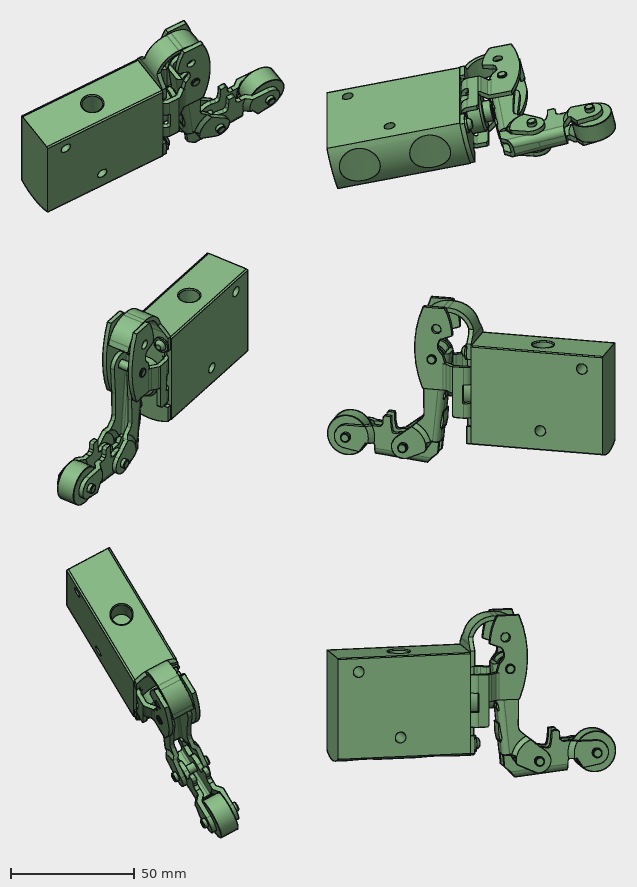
import cadquery as cq
import math


TOTAL_LENGTH = 117.0

HOUSING_WIDTH = 20.0
HOUSING_DEPTH = 55.2
HOUSING_TOP = 20.8
HOUSING_SIDE_BOTTOM = -20.7
HOUSING_BOTTOM = -23.0
TOP_BEVEL_WIDTH = 0.8
TOP_BEVEL_HEIGHT = 0.4
GRIP_CENTERS_Y = (-14.5, -43.8)
GRIP_RADIUS = 25.3
GRIP_DEPTH = 1.4
MOUNT_HOLE_DIAMETER = 4.5
MOUNT_HOLES = ((-46.5, 15.0), (-29.1, -12.9))
PORT_DIAMETER = 8.5
PORT_BEVEL = 0.5
PORT_CENTER_Y = -27.6
PORT_DEPTH = 11.7
GUIDE_DIAMETER = 15.9
GUIDE_LENGTH = 8.1
GUIDE_BEVEL = 0.9

SCREW_PLACES = ((-6.5, 17.4), (6.5, -17.3))
SHANK_DIAMETER = 3.0
FLANGE_DIAMETER = 6.8
FLANGE_THICKNESS = 0.8
DOME_DIAMETER = 5.0
DOME_TOP_DIAMETER = 2.5
DOME_HEIGHT = 1.8
DOME_BULGE = 0.4

PLUNGER_DIAMETER = 8.5
PLUNGER_SHOULDER_Y = 11.2
TIP_DIAMETER = 6.8
TIP_Y = 11.7

SHEET = 1.9
STEP_OVERLAP = 0.4
REACH = 70.2
PIN_DIAMETER = 3.9
PIN_LENGTH = 16.1
PIN_BEVEL = 0.4
SPARE_HOLE_DIAMETER = 3.9

PLATE_HALF = 9.6
FLANK_HALF = HOUSING_WIDTH / 2
FLANK_BEND_RADIUS = 3.2
FLANK_TOP = 11.5
FLANK_BOTTOM = -10.2
FLANK_FRONT = 7.7
FLANK_BEVEL = 0.7
CHEEK_HALF = 7.3
CHEEK_TOP = 35.0
CHEEK_BOTTOM = 0.2
JOGGLE_START = 8.2
JOGGLE_END = 11.6
JOGGLE_RADIUS = 2.1
RELIEF_HEIGHT = 3.5
RELIEF_DEPTH = 1.8
WINDOW_HEIGHT = 8.0
WINDOW_REACH = 3.5
STRAP_HALF = 4.8
STRAP_SHOULDER = 21.5
STRAP_RADIUS = 10.9
STRAP_TOP = 34.6
STRAP_FLAT = 2.1
STRAP_ARC_DEGREES = 65
STRAP_TIP_LENGTH = 2.5
STRAP_TIP_BEVEL = 0.7

ROLLER_DIAMETER = 16.8
ROLLER_WIDTH = 8.0
ROLLER_BEVEL = 0.18

LEVER_PIVOT = (17.1, 13.0)
SPARE_HOLE = (15.2, 26.0)
HINGE = (29.4, -25.9)
ROLLER_AXIS = (TOTAL_LENGTH - HOUSING_DEPTH - ROLLER_DIAMETER / 2, -23.4)
EYE_RADIUS = 4.9

LEVER_HALF = 4.9
LEVER_BEND_RADIUS = 2.8
LEVER_BACK_TOP = (10.3, 18.6)
LEVER_BACK_BOTTOM = (14.6, -23.2)
LEVER_DEPTH = 14.0
EAR_HALF = 6.2
EAR_STEP_RADII = (9.6, 11.5)
PAD_HALF = 3.7
PADS = (
    ((12.4, -1.5), (12.2, -1.8), (12.2, -3.5), (13.0, -5.0), (13.6, -4.1)),
    ((13.3, -10.1), (13.0, -10.3), (13.2, -15.0), (13.9, -18.0), (14.5, -16.4)),
)

LINK_HALF = 4.1
LINK_WALL = 2.0
LINK_BEND_RADIUS = 2.9
LINK_BASE_BACK = (14.6, -33.6)
LINK_BASE_FRONT = (45.2, -30.6)
LINK_DEPTH = 21.0
FORK_HALF = 6.2
FORK_STEP_RADII = (9.4, 11.5)


def across(profile, half_width):
    """Extrude a closed (Y, Z) profile to both sides of the plane of symmetry."""
    return profile.extrude(2 * half_width).translate((-half_width, 0, 0))


def polygon(points):
    """Closed straight-sided profile in the (Y, Z) plane."""
    return cq.Workplane("YZ").polyline(points).close()


def rod(center, diameter, length):
    """Cylinder along X through a (Y, Z) centre."""
    return across(cq.Workplane("YZ").center(*center).circle(diameter / 2), length / 2)


def disc(diameter, start_y, end_y, x=0, z=0):
    """Cylinder along Y from start_y to end_y."""
    plane = cq.Plane(origin=(x, start_y, z), xDir=(1, 0, 0), normal=(0, 1, 0))
    return cq.Workplane(plane).circle(diameter / 2).extrude(end_y - start_y)


def pin(center):
    """Pin along X with beveled ends."""
    return rod(center, PIN_DIAMETER, PIN_LENGTH).faces("<X or >X").chamfer(PIN_BEVEL)


def mirrored(half):
    """A right-hand half together with its mirror image."""
    return half.union(half.mirror("YZ"))


def point_from(center, radius, degrees):
    """Point on a circle in the (Y, Z) plane."""
    angle = math.radians(degrees)
    return (center[0] + radius * math.cos(angle), center[1] + radius * math.sin(angle))


def channel(start, end, half_width, wall, radius, depth):
    """U-shaped sheet: its base runs from start to end in (Y, Z), its walls stand to the left of that run."""
    run = (end[0] - start[0], end[1] - start[1])
    plane = cq.Plane(origin=(0, *start), xDir=(1, 0, 0), normal=(0, *run))
    base_side = cq.selectors.DirectionMinMaxSelector(plane.yDir, True)
    lengthwise = cq.selectors.ParallelDirSelector(plane.zDir)

    def bar(half, inset, corner_radius):
        profile = cq.Workplane(plane).center(0, -depth).rect(2 * half, 2 * (depth - inset))
        return profile.extrude(math.hypot(*run)).faces(base_side).edges(lengthwise).fillet(corner_radius)

    return bar(half_width, 0, radius).cut(bar(half_width - wall, wall, radius - wall))


def dished_sheets(center, radii, halves, wall):
    """Two mirrored sheets with a conical step concentric with a (Y, Z) centre.

    Their outer half width goes from halves[0] inside radii[0] to halves[1] outside radii[1].
    """
    slope = math.atan2(halves[0] - halves[1], radii[1] - radii[0])
    inner_shift = wall * math.tan(slope / 2)
    rim = radii[1] + STEP_OVERLAP
    section = cq.Workplane("XY").polyline([
        (halves[0], 0),
        (halves[0], radii[0]),
        (halves[1], radii[1]),
        (halves[1], rim),
        (halves[1] - wall, rim),
        (halves[1] - wall, radii[1] - inner_shift),
        (halves[0] - wall, radii[0] - inner_shift),
        (halves[0] - wall, 0),
    ]).close()
    return mirrored(section.revolve(360, (0, 0, 0), (1, 0, 0)).translate((0, *center)))


def cross_section(half_width, top):
    """Closed (X, Z) outline with an arched bottom, shared by the housing and the bracket plate."""
    arch_rise = HOUSING_SIDE_BOTTOM - HOUSING_BOTTOM
    arch_radius = (FLANK_HALF**2 + arch_rise**2) / (2 * arch_rise)
    corner_z = HOUSING_BOTTOM + arch_radius - math.sqrt(arch_radius**2 - half_width**2)
    return (
        cq.Workplane("XZ")
        .moveTo(-half_width, top)
        .lineTo(-half_width, corner_z)
        .threePointArc((0, HOUSING_BOTTOM), (half_width, corner_z))
        .lineTo(half_width, top)
        .close()
    )


def make_screw(x, z):
    """Dome-headed screw with a flange, seated on the bracket plate."""
    dome_base = SHEET + FLANGE_THICKNESS
    dome_top = dome_base + DOME_HEIGHT
    dome_middle = (DOME_DIAMETER + DOME_TOP_DIAMETER) / 4 + DOME_BULGE
    profile = (
        cq.Workplane("XY")
        .lineTo(SHANK_DIAMETER / 2, 0)
        .lineTo(SHANK_DIAMETER / 2, SHEET)
        .lineTo(FLANGE_DIAMETER / 2, SHEET)
        .lineTo(FLANGE_DIAMETER / 2, dome_base)
        .lineTo(DOME_DIAMETER / 2, dome_base)
        .threePointArc((dome_middle, (dome_base + dome_top) / 2), (DOME_TOP_DIAMETER / 2, dome_top))
        .lineTo(0, dome_top)
        .close()
    )
    return profile.revolve(360, (0, 0, 0), (0, 1, 0)).translate((x, 0, z))


def make_housing():
    """Block with an arched, finger-gripped bottom, a cable port, the plunger guide and the screws."""
    block = cross_section(FLANK_HALF, HOUSING_TOP).extrude(HOUSING_DEPTH)
    bevel = (
        cq.Workplane("XZ")
        .moveTo(FLANK_HALF, HOUSING_TOP)
        .lineTo(FLANK_HALF - TOP_BEVEL_WIDTH, HOUSING_TOP)
        .lineTo(FLANK_HALF, HOUSING_TOP - TOP_BEVEL_HEIGHT)
        .close()
        .extrude(HOUSING_DEPTH)
    )
    block = block.cut(mirrored(bevel))

    grip_center_z = HOUSING_BOTTOM + GRIP_DEPTH - GRIP_RADIUS
    for grip_y in GRIP_CENTERS_Y:
        block = block.cut(rod((grip_y, grip_center_z), 2 * GRIP_RADIUS, 2 * HOUSING_WIDTH))
    for place in MOUNT_HOLES:
        block = block.cut(rod(place, MOUNT_HOLE_DIAMETER, 2 * HOUSING_WIDTH))

    port = cq.Workplane("XY", origin=(0, PORT_CENTER_Y, HOUSING_TOP))
    block = block.cut(port.circle(PORT_DIAMETER / 2).extrude(-PORT_DEPTH))
    block = block.cut(port.circle(PORT_DIAMETER / 2 + PORT_BEVEL).extrude(-PORT_BEVEL, taper=45))

    guide = disc(GUIDE_DIAMETER, 0, GUIDE_LENGTH).faces(">Y").chamfer(GUIDE_BEVEL)
    block = block.union(guide.cut(disc(PLUNGER_DIAMETER, 0, GUIDE_LENGTH)))
    for place in SCREW_PLACES:
        block = block.union(make_screw(*place))
    return block


def make_plunger():
    """Stepped plunger seated in the guide."""
    return disc(PLUNGER_DIAMETER, 0, PLUNGER_SHOULDER_Y).union(disc(TIP_DIAMETER, PLUNGER_SHOULDER_Y, TIP_Y))


def bracket_strap():
    """Strap that rises from the plate, arches over between the cheeks and ends in a beveled tip."""
    center_z = STRAP_TOP - STRAP_RADIUS
    back_center = (STRAP_RADIUS, center_z)
    front_center = (STRAP_RADIUS + STRAP_FLAT, center_z)
    inner_radius = STRAP_RADIUS - SHEET
    end_angle = 90 - STRAP_ARC_DEGREES
    middle_angle = 90 - STRAP_ARC_DEGREES / 2
    slope = math.radians(-STRAP_ARC_DEGREES)
    tip_y = STRAP_TIP_LENGTH * math.cos(slope)
    tip_z = STRAP_TIP_LENGTH * math.sin(slope)
    inner_end = point_from(front_center, inner_radius, end_angle)
    side = (
        cq.Workplane("YZ")
        .moveTo(0, FLANK_TOP)
        .lineTo(0, center_z)
        .threePointArc(point_from(back_center, STRAP_RADIUS, 135), (STRAP_RADIUS, STRAP_TOP))
        .lineTo(front_center[0], STRAP_TOP)
        .threePointArc(
            point_from(front_center, STRAP_RADIUS, middle_angle),
            point_from(front_center, STRAP_RADIUS, end_angle),
        )
        .line(tip_y, tip_z)
        .lineTo(inner_end[0] + tip_y, inner_end[1] + tip_z)
        .lineTo(*inner_end)
        .threePointArc(
            point_from(front_center, inner_radius, middle_angle),
            (front_center[0], STRAP_TOP - SHEET),
        )
        .lineTo(STRAP_RADIUS, STRAP_TOP - SHEET)
        .threePointArc(point_from(back_center, inner_radius, 135), (SHEET, center_z))
        .lineTo(SHEET, FLANK_TOP)
        .close()
    )
    neck_top = STRAP_SHOULDER + PLATE_HALF - STRAP_HALF
    front = (
        cq.Workplane("XZ")
        .polyline([
            (-PLATE_HALF, FLANK_TOP),
            (-PLATE_HALF, STRAP_SHOULDER),
            (-STRAP_HALF, neck_top),
            (-STRAP_HALF, CHEEK_TOP),
            (STRAP_HALF, CHEEK_TOP),
            (STRAP_HALF, neck_top),
            (PLATE_HALF, STRAP_SHOULDER),
            (PLATE_HALF, FLANK_TOP),
        ])
        .close()
        .extrude(-REACH)
    )
    strap = across(side, PLATE_HALF).intersect(front)
    tip_face = cq.selectors.DirectionMinMaxSelector(cq.Vector(0, math.cos(slope), math.sin(slope)))
    return strap.faces(tip_face).edges("not |X").chamfer(STRAP_TIP_BEVEL)


def bracket_flanks():
    """Side walls bent forward from the plate, with a window in each bend."""
    bend_start = FLANK_HALF - FLANK_BEND_RADIUS
    inner_radius = FLANK_BEND_RADIUS - SHEET
    diagonal = math.sqrt(0.5)
    plan = (
        cq.Workplane("XY", origin=(0, 0, FLANK_BOTTOM))
        .lineTo(bend_start, 0)
        .threePointArc(
            (bend_start + FLANK_BEND_RADIUS * diagonal, FLANK_BEND_RADIUS * (1 - diagonal)),
            (FLANK_HALF, FLANK_BEND_RADIUS),
        )
        .lineTo(FLANK_HALF, FLANK_FRONT)
        .lineTo(FLANK_HALF - SHEET, FLANK_FRONT)
        .lineTo(FLANK_HALF - SHEET, FLANK_BEND_RADIUS)
        .threePointArc(
            (bend_start + inner_radius * diagonal, FLANK_BEND_RADIUS - inner_radius * diagonal),
            (bend_start, SHEET),
        )
        .lineTo(0, SHEET)
        .close()
    )
    flank = plan.extrude(FLANK_TOP - FLANK_BOTTOM)
    flank = flank.faces(">Y").edges("<Z").chamfer(FLANK_BEVEL)
    window = cq.Workplane("XY").box(FLANK_BEND_RADIUS, WINDOW_REACH, WINDOW_HEIGHT)
    window = window.edges(">Y and |X").fillet(FLANK_BEVEL)
    window = window.translate((FLANK_HALF - FLANK_BEND_RADIUS / 2, WINDOW_REACH / 2, 0))
    return mirrored(flank.cut(window))


def bracket_steps():
    """Rounded steps that lead from the flanks in to the cheeks."""
    start = FLANK_FRONT - SHEET
    end = JOGGLE_END + SHEET
    slope = math.atan2(FLANK_HALF - CHEEK_HALF, JOGGLE_END - JOGGLE_START)
    inner_shift = SHEET * math.tan(slope / 2)
    plan = cq.Workplane("XY", origin=(0, 0, CHEEK_BOTTOM)).polyline([
        (FLANK_HALF, start),
        (FLANK_HALF, JOGGLE_START),
        (CHEEK_HALF, JOGGLE_END),
        (CHEEK_HALF, end),
        (CHEEK_HALF - SHEET, end),
        (CHEEK_HALF - SHEET, JOGGLE_END - inner_shift),
        (FLANK_HALF - SHEET, JOGGLE_START - inner_shift),
        (FLANK_HALF - SHEET, start),
    ]).close()
    step = plan.extrude(FLANK_TOP - CHEEK_BOTTOM)
    bend_zone = cq.selectors.BoxSelector(
        (0, start + SHEET / 2, CHEEK_BOTTOM),
        (HOUSING_WIDTH, end - SHEET / 2, FLANK_TOP),
    )
    return mirrored(step.edges("|Z").edges(bend_zone).fillet(JOGGLE_RADIUS))


def bracket_cheeks():
    """Upright cheeks carrying the lever, stepped in from the flanks."""
    outline = (
        cq.Workplane("YZ")
        .moveTo(JOGGLE_END, CHEEK_BOTTOM)
        .lineTo(JOGGLE_END, FLANK_TOP)
        .lineTo(12.6, 15.0)
        .lineTo(14.2, 16.8)
        .threePointArc((14.7, 19.0), (14.4, 20.2))
        .threePointArc((13.9, 21.3), (13.1, 21.9))
        .lineTo(8.8, 23.5)
        .lineTo(8.8, 24.7)
        .threePointArc((9.6, 29.5), (11.3, 34.2))
        .lineTo(11.9, CHEEK_TOP)
        .lineTo(20.8, CHEEK_TOP)
        .threePointArc((24.3, 17.4), (21.3, 1.0))
        .lineTo(20.8, CHEEK_BOTTOM)
        .close()
    )
    gap = cq.Workplane("XY").box(2 * (CHEEK_HALF - SHEET), 2 * REACH, 2 * REACH)
    cheeks = across(outline, CHEEK_HALF).cut(gap)
    return cheeks.union(bracket_steps())


def make_bracket():
    """One bent sheet: plate, strap, flanks and cheeks, with the lever pin fixed in the cheeks."""
    plate = cross_section(PLATE_HALF, FLANK_BOTTOM).extrude(-SHEET)
    bracket = plate.union(bracket_strap()).union(bracket_flanks()).union(bracket_cheeks())
    for relief_z in (FLANK_TOP + RELIEF_HEIGHT / 2, FLANK_BOTTOM - RELIEF_HEIGHT / 2):
        relief = cq.Workplane("XY").box(RELIEF_DEPTH, SHEET, RELIEF_HEIGHT)
        relief = relief.translate((PLATE_HALF - RELIEF_DEPTH / 2, SHEET / 2, relief_z))
        bracket = bracket.cut(mirrored(relief))
    bracket = bracket.cut(disc(GUIDE_DIAMETER, 0, GUIDE_LENGTH))
    for x, z in SCREW_PLACES:
        bracket = bracket.cut(disc(SHANK_DIAMETER, 0, SHEET, x, z))
    bracket = bracket.cut(rod(SPARE_HOLE, SPARE_HOLE_DIAMETER, HOUSING_WIDTH))
    return bracket.union(pin(LEVER_PIVOT))


def make_lever():
    """Sheet channel that hangs from the pivot and ends in two ears, with the hinge pin fixed in them."""
    outline = (
        cq.Workplane("YZ")
        .moveTo(*point_from(LEVER_PIVOT, EYE_RADIUS, 0))
        .lineTo(21.2, 0.2)
        .lineTo(21.0, -11.0)
        .threePointArc((21.3, -12.3), (21.9, -13.5))
        .lineTo(25.6, -16.7)
        .lineTo(*point_from(HINGE, EYE_RADIUS, 55))
        .threePointArc(point_from(HINGE, EYE_RADIUS, -30), point_from(HINGE, EYE_RADIUS, -115))
        .lineTo(20.8, -27.4)
        .threePointArc((20.1, -26.7), (19.9, -25.7))
        .lineTo(20.0, -23.7)
        .lineTo(18.5, -23.2)
        .lineTo(*LEVER_BACK_BOTTOM)
        .lineTo(10.8, 14.5)
        .lineTo(12.5, 14.9)
        .threePointArc(point_from(LEVER_PIVOT, EYE_RADIUS, 90), point_from(LEVER_PIVOT, EYE_RADIUS, 0))
        .close()
    )
    body = channel(LEVER_BACK_TOP, LEVER_BACK_BOTTOM, LEVER_HALF, SHEET, LEVER_BEND_RADIUS, LEVER_DEPTH)
    ear_zone = rod(HINGE, 2 * EAR_STEP_RADII[1], 2 * EAR_HALF)
    ears = dished_sheets(HINGE, EAR_STEP_RADII, (EAR_HALF, LEVER_HALF), SHEET)
    lever = body.cut(ear_zone).union(ears).intersect(across(outline, EAR_HALF))
    for pad in PADS:
        lever = lever.union(across(polygon(pad), PAD_HALF))
    lever = lever.cut(rod(LEVER_PIVOT, PIN_DIAMETER, PIN_LENGTH))
    return lever.union(pin(HINGE))


def make_link():
    """Sheet channel on the hinge that widens into a fork, with the roller pin fixed in it."""
    outline = (
        cq.Workplane("YZ")
        .moveTo(*point_from(ROLLER_AXIS, EYE_RADIUS, 90))
        .lineTo(41.1, -18.5)
        .threePointArc((40.0, -18.6), (39.1, -18.1))
        .lineTo(38.5, -17.2)
        .lineTo(38.4, -14.7)
        .threePointArc((38.0, -14.2), (37.3, -13.9))
        .lineTo(35.2, -14.2)
        .lineTo(35.1, -17.7)
        .lineTo(34.6, -20.2)
        .threePointArc((34.0, -20.9), (33.1, -21.0))
        .lineTo(30.9, -20.6)
        .threePointArc((26.5, -21.8), (24.5, -25.9))
        .lineTo(19.7, -25.9)
        .lineTo(18.2, -23.4)
        .lineTo(15.1, -23.4)
        .lineTo(15.5, -28.2)
        .lineTo(18.1, -30.4)
        .lineTo(20.4, -33.0)
        .lineTo(41.9, -31.0)
        .lineTo(41.9, -26.9)
        .threePointArc((42.2, -26.1), (42.8, -25.7))
        .lineTo(45.3, -25.5)
        .lineTo(47.8, -29.4)
        .lineTo(*point_from(ROLLER_AXIS, EYE_RADIUS, -75))
        .threePointArc(point_from(ROLLER_AXIS, EYE_RADIUS, 10), point_from(ROLLER_AXIS, EYE_RADIUS, 90))
        .close()
    )
    body = channel(LINK_BASE_BACK, LINK_BASE_FRONT, LINK_HALF, LINK_WALL, LINK_BEND_RADIUS, LINK_DEPTH)
    fork_zone = rod(ROLLER_AXIS, 2 * FORK_STEP_RADII[1], 2 * FORK_HALF)
    fork = dished_sheets(ROLLER_AXIS, FORK_STEP_RADII, (FORK_HALF, LINK_HALF), LINK_WALL)
    link = body.cut(fork_zone).union(fork).intersect(across(outline, FORK_HALF))
    link = link.cut(rod(HINGE, PIN_DIAMETER, PIN_LENGTH))
    return link.union(pin(ROLLER_AXIS))


def make_roller():
    """Roller bored for the pin of the fork."""
    roller = rod(ROLLER_AXIS, ROLLER_DIAMETER, ROLLER_WIDTH).faces("<X or >X").chamfer(ROLLER_BEVEL)
    return roller.cut(rod(ROLLER_AXIS, PIN_DIAMETER, ROLLER_WIDTH))


housing = make_housing()
plunger = make_plunger()
bracket = make_bracket()
lever = make_lever()
link = make_link()
roller = make_roller()

result = cq.Compound.makeCompound([
    housing.val(),
    plunger.val(),
    bracket.val(),
    lever.val(),
    link.val(),
    roller.val(),
])